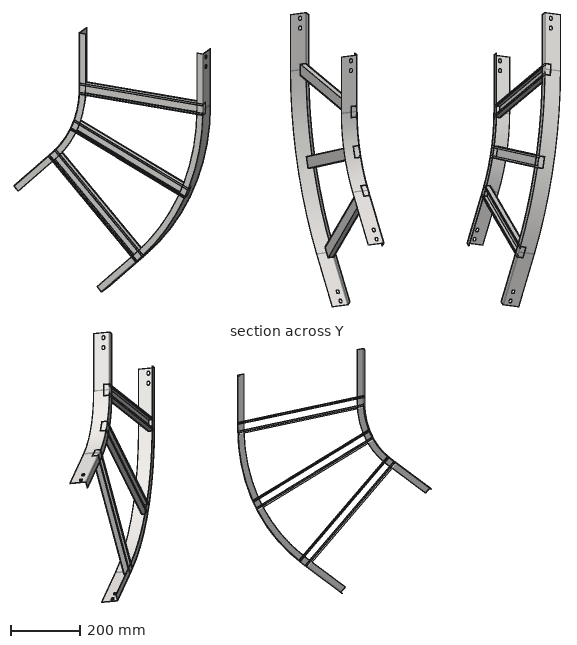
import cadquery as cq
import math


bend_angle = 45.0
overall_height = 790.0
inner_web_radius = 300.0
outer_web_radius = 700.0
bend_sin = math.sin(math.radians(bend_angle))
bend_cos = math.cos(math.radians(bend_angle))
straight_length = (overall_height - outer_web_radius * bend_sin) / (1 + bend_cos)

sheet = 1.5
rail_depth = 50.0
flange_width = 20.5
fold_radius = 2.0

rung_angles = [0.0, bend_angle / 2, bend_angle]
rung_width = 35.5
rung_back = 20.0
rung_lip = 6.0

slot_setbacks = [15.0, 45.0]
slot_length = 12.0
slot_width = 8.0
slot_depth_position = 20.0
cut_clearance = 8.0


def turn(shape, angle):
    """Rotate about the bend axis, from the upper straight towards the lower one."""
    return shape.rotate((0, 0, 0), (0, 1, 0), angle)


def rail_path(radius):
    """Line of a rail: straight run, bend arc, straight run."""
    middle_angle = math.radians(bend_angle / 2)
    bend_end = (radius * bend_cos, -radius * bend_sin)
    return (
        cq.Workplane("XZ")
        .moveTo(radius, straight_length)
        .lineTo(radius, 0)
        .threePointArc((radius * math.cos(middle_angle), -radius * math.sin(middle_angle)), bend_end)
        .lineTo(bend_end[0] - straight_length * bend_sin, bend_end[1] - straight_length * bend_cos)
    )


def rail(web_radius, flange_direction):
    """Folded L-section; the web face lies on web_radius, flange_direction is +1 outwards or -1 inwards."""

    def across(distance):
        return web_radius + flange_direction * distance

    fold_middle = fold_radius * (1 - math.sqrt(0.5))
    inside_fold_middle = fold_radius - (fold_radius - sheet) * math.sqrt(0.5)
    return (
        cq.Workplane("XY", origin=(0, 0, straight_length))
        .moveTo(across(0), rail_depth)
        .lineTo(across(0), fold_radius)
        .threePointArc((across(fold_middle), fold_middle), (across(fold_radius), 0))
        .lineTo(across(flange_width), 0)
        .lineTo(across(flange_width), sheet)
        .lineTo(across(fold_radius), sheet)
        .threePointArc((across(inside_fold_middle), inside_fold_middle), (across(sheet), fold_radius))
        .lineTo(across(sheet), rail_depth)
        .close()
        .sweep(rail_path(web_radius))
    )


def rung():
    """Lipped channel, open to the front, resting on the rail flanges with its ends in the webs."""
    start = inner_web_radius + sheet / 2
    length = outer_web_radius - inner_web_radius - sheet
    half_width = rung_width / 2
    half_opening = half_width - rung_lip
    half_inside = half_width - sheet
    front = sheet
    return (
        cq.Workplane("YZ", origin=(start, 0, 0))
        .moveTo(front, half_opening)
        .lineTo(front, half_width)
        .lineTo(rung_back, half_width)
        .lineTo(rung_back, -half_width)
        .lineTo(front, -half_width)
        .lineTo(front, -half_opening)
        .lineTo(front + sheet, -half_opening)
        .lineTo(front + sheet, -half_inside)
        .lineTo(rung_back - sheet, -half_inside)
        .lineTo(rung_back - sheet, half_inside)
        .lineTo(front + sheet, half_inside)
        .lineTo(front + sheet, half_opening)
        .close()
        .extrude(length)
    )


def end_slots(end):
    """Slots through both rail webs; end is +1 above the bend and -1 below it."""
    centres = [(slot_depth_position, end * (straight_length - setback)) for setback in slot_setbacks]
    return (
        cq.Workplane("YZ", origin=(inner_web_radius - cut_clearance, 0, 0))
        .pushPoints(centres)
        .slot2D(slot_length, slot_width, 90)
        .extrude(outer_web_radius - inner_web_radius + 2 * cut_clearance)
    )


result = rail(inner_web_radius, 1).union(rail(outer_web_radius, -1))
for angle in rung_angles:
    result = result.union(turn(rung(), angle))
result = result.cut(end_slots(1))
result = result.cut(turn(end_slots(-1), bend_angle))